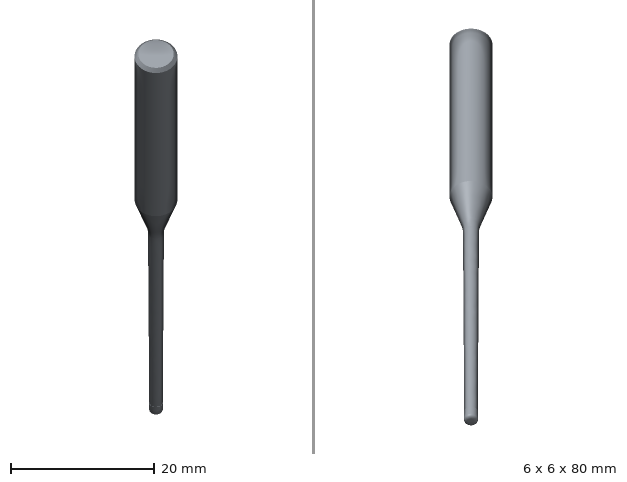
import cadquery as cq
import math

total_length = 80.0
shank_radius = 3.0
shank_chamfer = 0.52

head_radius = 1.0
head_corner_radius = 0.52
head_top = 2.0

neck_radius = 1.0
stem_start = 4.0
stem_end = 40.0
stem_end_radius = 1.1
flare_end = 41.6
flare_end_radius = 1.4
cone_end = 47.4


def revolve_about_z(profile):
    """Turn a closed half-profile a full circle about the tool axis."""
    return profile.revolve(360, (0, 0, 0), (0, 1, 0))


def make_head():
    """Cutting head with a flat tip and a rounded corner."""
    flat_radius = head_radius - head_corner_radius
    arc_offset = head_corner_radius * math.sqrt(0.5)
    arc_middle = (flat_radius + arc_offset, head_corner_radius - arc_offset)
    return revolve_about_z(
        cq.Workplane("XZ")
        .lineTo(flat_radius, 0)
        .threePointArc(arc_middle, (head_radius, head_corner_radius))
        .lineTo(head_radius, head_top)
        .lineTo(0, head_top)
        .close()
    )


def make_shank():
    """Relieved neck, tapered stem, curved flare, cone and chamfered shank."""
    return revolve_about_z(
        cq.Workplane("XZ")
        .moveTo(0, head_top)
        .lineTo(neck_radius, head_top)
        .lineTo(neck_radius, stem_start)
        .lineTo(stem_end_radius, stem_end)
        .tangentArcPoint((flare_end_radius, flare_end), relative=False)
        .lineTo(shank_radius, cone_end)
        .lineTo(shank_radius, total_length - shank_chamfer)
        .lineTo(shank_radius - shank_chamfer, total_length)
        .lineTo(0, total_length)
        .close()
    )


head = make_head()
shank = make_shank()

result = cq.Compound.makeCompound([head.val(), shank.val()])